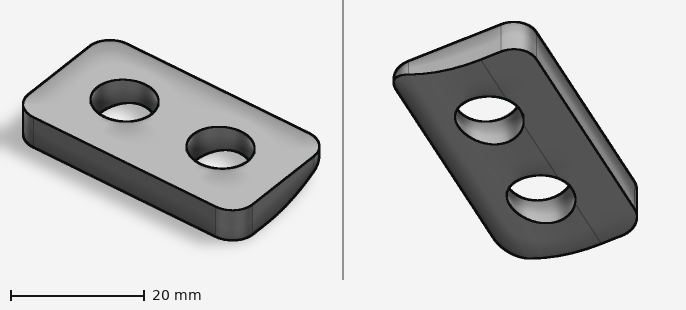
import cadquery as cq
import math

length = 42.0
width = 23.3
corner_radius = 4.0

front_top = 6.5
front_bottom = 0.55
back_top = 5.0
back_bottom = 4.58
flat_end_y = -4.3

hole_diameter = 10.2
hole_spacing = 17.98
hole_y = 0.35

cut_margin = 4.2

front_y = -width / 2
back_y = width / 2
slope = (back_top - front_top) / width
tilt = math.atan(slope)


def make_wedge():
    """Side profile extruded along the full length."""
    flat_end_z = front_bottom + slope * (flat_end_y - front_y)
    return (
        cq.Workplane("YZ")
        .moveTo(front_y, front_top)
        .lineTo(front_y, front_bottom)
        .lineTo(flat_end_y, flat_end_z)
        .tangentArcPoint((back_y, back_bottom), relative=False)
        .lineTo(back_y, back_top)
        .close()
        .extrude(length / 2, both=True)
    )


def make_outline():
    """Upright block with the rounded corners of the plate."""
    return (
        cq.Workplane("XY")
        .rect(length, width)
        .extrude(front_top + cut_margin, both=True)
        .edges("|Z")
        .fillet(corner_radius)
    )


def make_holes():
    """Pair of cylinders perpendicular to the top face."""
    hole_top_z = front_top + slope * (hole_y - front_y)
    top_plane = cq.Plane(
        origin=(0, hole_y, hole_top_z),
        xDir=(1, 0, 0),
        normal=(0, -math.sin(tilt), math.cos(tilt)),
    )
    return (
        cq.Workplane(top_plane)
        .workplane(offset=cut_margin)
        .pushPoints([(-hole_spacing / 2, 0), (hole_spacing / 2, 0)])
        .circle(hole_diameter / 2)
        .extrude(-(front_top + 2 * cut_margin))
    )


result = make_wedge().intersect(make_outline()).cut(make_holes())